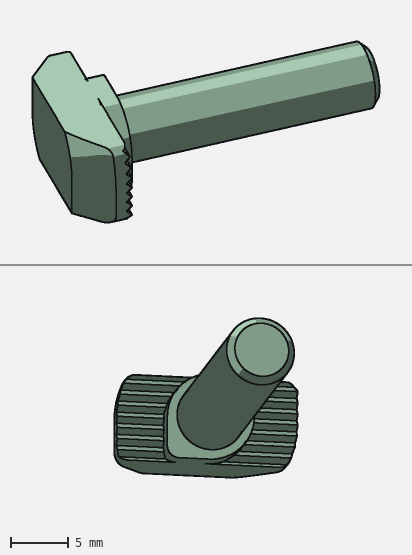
import cadquery as cq
import math


total_length = 29.5
head_width = 16.0
head_thickness = 7.7

serration_crest = 4.5
bevel_height = 3.0
corner_radius = 1.0
serration_pitch = 1.0
serration_depth = serration_pitch / 2

neck_top = 6.0
neck_turning_radius = 4.0
shank_diameter = 6.0
tip_chamfer = 0.613

half_width = head_width / 2
half_thickness = head_thickness / 2
face_half_width = half_width - bevel_height
serration_root = serration_crest - serration_depth


def extrude_along_y(outline, start, end):
    """Extrude a closed XZ outline from Y = start to Y = end."""
    return outline.extrude(start - end).translate((0, start, 0))


def arc_point(center, radius, angle):
    """Point at the given angle (radians) on a circle in the XZ plane."""
    return (center[0] + radius * math.cos(angle), center[1] + radius * math.sin(angle))


def head_blank():
    """Head outline: two square corners and two corners swept to the turning circle."""
    blend_z = half_thickness - corner_radius
    blend_angle = math.asin(blend_z / (half_width - corner_radius))
    blend_x = (half_width - corner_radius) * math.cos(blend_angle)
    blend_center = (blend_x, blend_z)
    blend_middle = arc_point(blend_center, corner_radius, (blend_angle + math.pi / 2) / 2)
    sweep_middle = arc_point((0, 0), half_width, blend_angle / 2)
    sweep_end = arc_point((0, 0), half_width, blend_angle)

    square_x = half_width - corner_radius
    square_center = (square_x, -blend_z)
    square_middle = arc_point(square_center, corner_radius, -math.pi / 4)

    outline = cq.Workplane("XZ").moveTo(-blend_x, -half_thickness)
    for side in (1, -1):
        def turned(x, z):
            return (side * x, side * z)

        outline = (
            outline.lineTo(*turned(square_x, -half_thickness))
            .threePointArc(turned(*square_middle), turned(half_width, -blend_z))
            .lineTo(*turned(half_width, 0))
            .threePointArc(turned(*sweep_middle), turned(*sweep_end))
            .threePointArc(turned(*blend_middle), turned(blend_x, half_thickness))
        )
    return extrude_along_y(outline.close(), 0, serration_crest)


def bevel_envelope():
    """Conical bevel on the swept corners and flat bevel on the square corners."""
    half_profile = [
        (0, 0),
        (face_half_width, 0),
        (half_width, bevel_height),
        (half_width, serration_crest),
        (0, serration_crest),
    ]
    envelope = cq.Workplane("XY").polyline(half_profile).close().revolve(360, (0, 0), (0, 1))
    flat_bevel = cq.Workplane("XY").polyline(half_profile).close().extrude(-half_thickness)
    opposite_bevel = flat_bevel.rotate((0, 0, 0), (0, 1, 0), 180)
    return envelope.union(flat_bevel).union(opposite_bevel)


def serration_grooves():
    """V grooves along X, with a crest on the bolt axis."""
    groove_count = 2 * math.ceil(half_thickness / serration_pitch)
    first_crest = -groove_count / 2 * serration_pitch
    grooves = cq.Workplane("YZ").moveTo(serration_crest, first_crest)
    for index in range(groove_count):
        crest = first_crest + index * serration_pitch
        grooves = grooves.lineTo(serration_root, crest + serration_pitch / 2)
        grooves = grooves.lineTo(serration_crest, crest + serration_pitch)
    return grooves.close().extrude(half_width, both=True)


def neck():
    """Square neck with two small and two large rounded corners."""
    square = cq.Workplane("XZ").rect(head_thickness, head_thickness)
    block = extrude_along_y(square, serration_root, neck_top)
    corner_radii = {
        "<X and >Z": corner_radius,
        ">X and <Z": corner_radius,
        ">X and >Z": neck_turning_radius,
        "<X and <Z": neck_turning_radius,
    }
    for corner, radius in corner_radii.items():
        block = block.edges("|Y and " + corner).fillet(radius)
    return block


def shank():
    """Plain round shank with a chamfered tip."""
    circle = cq.Workplane("XZ").circle(shank_diameter / 2)
    return extrude_along_y(circle, serration_root, total_length).faces(">Y").chamfer(tip_chamfer)


head = head_blank().intersect(bevel_envelope()).cut(serration_grooves())
result = head.union(neck()).union(shank())